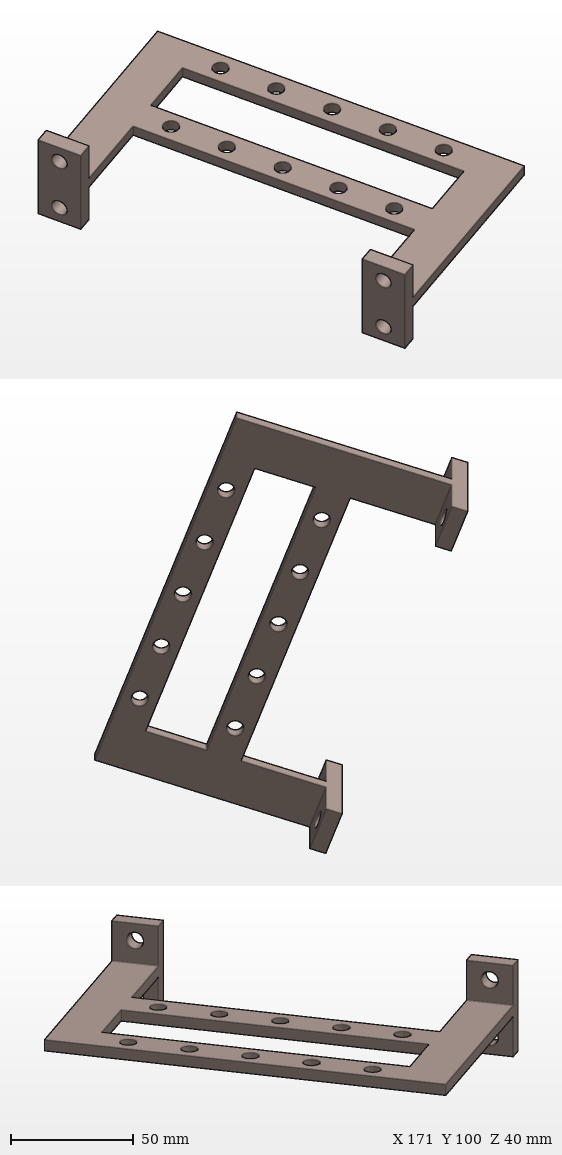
import cadquery as cq

width = 171.0
depth = 100.0
foot_height = 40.0

plate_thickness = 5.0
arm_width = 20.0
bar_width = 15.0
window_depth = 26.3

foot_thickness = 7.0
foot_hole_diameter = 7.0
foot_hole_spacing = 25.0

bar_hole_diameter = 6.8
bar_hole_count = 5
bar_hole_pitch = 26.0

edge_radius = 0.2

inner_width = width - 2 * arm_width
arm_center_x = (width - arm_width) / 2
rear_bar_y = depth - bar_width / 2
front_bar_y = rear_bar_y - bar_width - window_depth


def box(size_x, size_y, size_z, center_x, center_y):
    """Box centred on the mid-plane Z = 0."""
    return cq.Workplane("XY").box(size_x, size_y, size_z).translate((center_x, center_y, 0))


def make_arm(side):
    """Side arm with its upright, drilled foot; side is -1 or +1."""
    center_x = side * arm_center_x
    arm = box(arm_width, depth, plate_thickness, center_x, depth / 2)
    foot = box(arm_width, foot_thickness, foot_height, center_x, foot_thickness / 2)
    holes = (
        cq.Workplane("XZ")
        .center(center_x, 0)
        .rarray(1, foot_hole_spacing, 1, 2)
        .circle(foot_hole_diameter / 2)
        .extrude(-foot_thickness)
    )
    return arm.union(foot).cut(holes)


def make_bar(center_y):
    """Cross bar between the arms with a row of vertical through holes."""
    bar = box(inner_width, bar_width, plate_thickness, 0, center_y)
    holes = (
        cq.Workplane("XY")
        .center(0, center_y)
        .rarray(bar_hole_pitch, 1, bar_hole_count, 1)
        .circle(bar_hole_diameter / 2)
        .extrude(plate_thickness / 2, both=True)
    )
    return bar.cut(holes)


frame = make_arm(-1).union(make_arm(1))
for bar_y in (front_bar_y, rear_bar_y):
    frame = frame.union(make_bar(bar_y))

result = frame.edges().fillet(edge_radius)